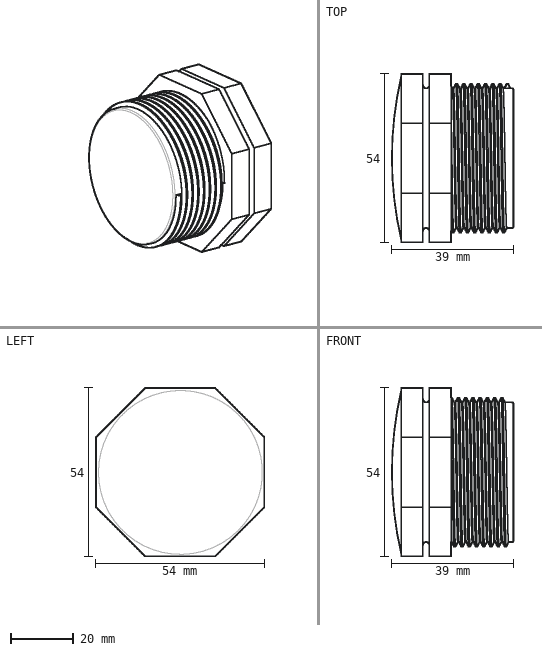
import cadquery as cq
import math

across_flats = 54.0
collar_sides = 8
dome_height = 3.0
dome_rim_radius = 26.25
first_collar_end = 10.0
second_collar_start = 12.0
second_collar_end = 19.0
total_length = 39.0

core_radius = 22.4
end_fillet = 0.5
thread_radius = 23.85
thread_pitch = 2.3
thread_turns = 8
thread_base_width = 1.95
thread_crest_width = 0.5
thread_overlap = 0.15


def make_collar(start, end):
    """Octagonal prism with flats facing Y and Z."""
    half_side_angle = 180 / collar_sides
    across_corners = across_flats / math.cos(math.radians(half_side_angle))
    return (
        cq.Workplane("YZ", origin=(start, 0, 0))
        .transformed(rotate=(0, 0, half_side_angle))
        .polygon(collar_sides, across_corners)
        .extrude(end - start)
    )


def make_dome():
    """Shallow spherical cap on the first collar."""
    sphere_radius = (dome_rim_radius**2 + dome_height**2) / (2 * dome_height)
    middle_radius = dome_rim_radius / 2
    middle_x = sphere_radius - math.sqrt(sphere_radius**2 - middle_radius**2)
    return (
        cq.Workplane("XY")
        .moveTo(0, 0)
        .threePointArc((middle_x, middle_radius), (dome_height, dome_rim_radius))
        .lineTo(dome_height, 0)
        .close()
        .revolve(360, (0, 0, 0), (1, 0, 0))
    )


def make_neck():
    """Neck between the collars, with a semicircular groove bottom."""
    groove_radius = (second_collar_start - first_collar_end) / 2
    groove_center = first_collar_end + groove_radius
    shoulder_radius = core_radius + groove_radius
    return (
        cq.Workplane("XY")
        .moveTo(first_collar_end, 0)
        .lineTo(first_collar_end, shoulder_radius)
        .threePointArc((groove_center, core_radius), (second_collar_start, shoulder_radius))
        .lineTo(second_collar_start, 0)
        .close()
        .revolve(360, (0, 0, 0), (1, 0, 0))
    )


def make_core():
    """Plain cylinder under the thread, rounded at its free end."""
    return (
        cq.Workplane("YZ", origin=(second_collar_end, 0, 0))
        .circle(core_radius)
        .extrude(total_length - second_collar_end)
        .faces(">X")
        .edges()
        .fillet(end_fillet)
    )


def make_thread():
    """Right-handed ridge that starts at +Y inside the second collar."""
    flank_slope = (thread_base_width - thread_crest_width) / 2 / (thread_radius - core_radius)
    root_radius = core_radius - thread_overlap
    root_half_width = thread_base_width / 2 + flank_slope * thread_overlap
    crest_half_width = thread_crest_width / 2
    helix = cq.Wire.makeHelix(thread_pitch, thread_pitch * thread_turns, core_radius)
    ridge = (
        cq.Workplane("XZ")
        .polyline([
            (root_radius, -root_half_width),
            (thread_radius, -crest_half_width),
            (thread_radius, crest_half_width),
            (root_radius, root_half_width),
        ])
        .close()
        .sweep(cq.Workplane(obj=helix), isFrenet=True)
    )
    start_x = second_collar_end - thread_pitch / 4
    return ridge.rotate((0, 0, 0), (1, 1, 1), 120).translate((start_x, 0, 0))


result = (
    make_core()
    .union(make_thread())
    .union(make_collar(second_collar_start, second_collar_end))
    .union(make_neck())
    .union(make_collar(dome_height, first_collar_end))
    .union(make_dome())
)